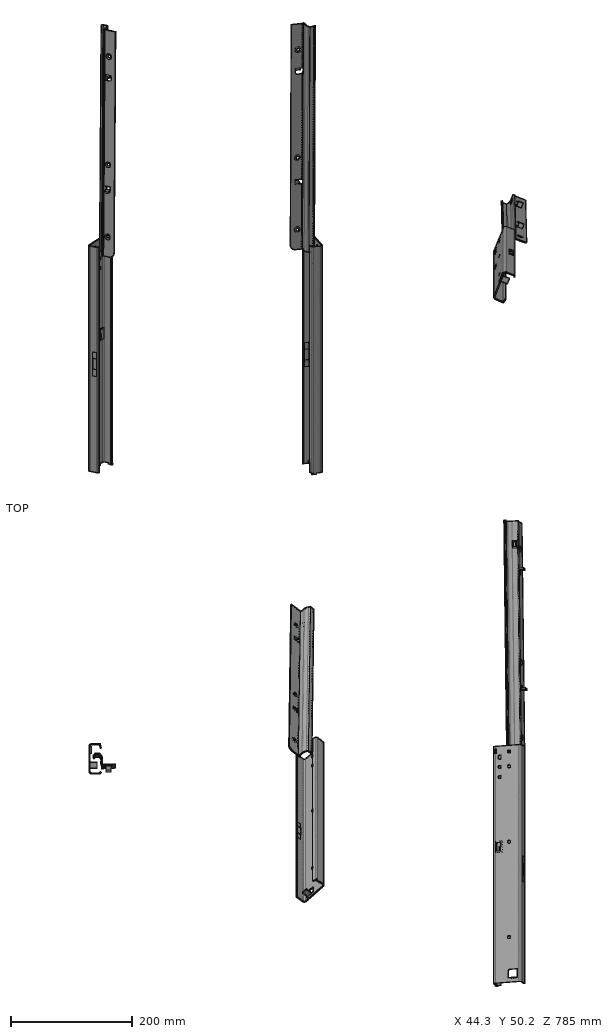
import cadquery as cq
import math

OVERALL_X = 44.3
OVERALL_Y = 50.2
OVERALL_Z = 785.02
X_MIN = -OVERALL_X / 2
X_MAX = OVERALL_X / 2
Y_MIN = -OVERALL_Y / 2
Y_MAX = OVERALL_Y / 2
Z_MIN = -OVERALL_Z / 2
Z_MAX = OVERALL_Z / 2

RAIL_LENGTH = 400.0
SHEET = 2.0

END_TAB_DROP = 1.9
CABINET_BOTTOM = Z_MIN + END_TAB_DROP
BEND_RADIUS = 4.5
LIP_BEND_RADIUS = 3.0
FLANGE_END_X = -4.0
LIP_END_X = -2.2
UPPER_LIP_END_Y = 17.5
LOWER_LIP_END_Y = -21.8
WALL_INSIDE = X_MIN + SHEET

TILT_DEGREES = 0.72
TILT = math.radians(TILT_DEGREES)
FLANGE_FRONT = -13.0
FLANGE_BACK = FLANGE_FRONT + SHEET
VALLEY_BOTTOM = -14.5
DRAWER_CENTRE_Z = Z_MAX - RAIL_LENGTH / 2 * math.cos(TILT) + VALLEY_BOTTOM * math.sin(TILT)
WALL_X = -0.2
BAR_TOP = 6.8
WALL_BEND_Y = 0.5
WALL_BEND_RADIUS = 12.0
VALLEY_BEND_RADIUS = 1.5
FLANGE_CORNER_RADIUS = 9.0


def unit(start, end):
    """Unit direction from one point to another."""
    length = math.dist(start, end)
    return ((end[0] - start[0]) / length, (end[1] - start[1]) / length)


def sheet_side(points, offset):
    """Points of the line that runs beside a bent centre line, to its left, with mitred corners."""
    directions = [unit(a, b) for a, b in zip(points, points[1:])]
    before = [directions[0]] + directions
    after = directions + [directions[-1]]
    side = []
    for (x, y), (ax, ay), (bx, by) in zip(points, before, after):
        reach = offset / (1 + ax * bx + ay * by)
        side.append((x - (ay + by) * reach, y + (ax + bx) * reach))
    return side


def sheet_section(points):
    """Closed outline of a sheet of constant thickness around a bent centre line."""
    left = sheet_side(points, SHEET / 2)
    right = sheet_side(points, -SHEET / 2)
    return cq.Workplane("XY").polyline(left + right[::-1]).close()


def block(x_range, y_range, z_range):
    """Box between two limits along each axis."""
    lows, highs = zip(x_range, y_range, z_range)
    size = [high - low for low, high in zip(lows, highs)]
    return cq.Workplane("XY").box(*size, centered=False).translate(lows)


def along_x(y, z, diameter, x_range):
    """Cylinder along X."""
    length = x_range[1] - x_range[0]
    return cq.Workplane("YZ", origin=(x_range[0], y, z)).circle(diameter / 2).extrude(length)


def upright_edge_near(rail, x, y):
    """The edge along Z that lies nearest to a point of the section."""
    return rail.edges("|Z").edges(cq.selectors.NearestToPointSelector((x, y, rail.val().Center().z)))


def cabinet_channel():
    half = SHEET / 2
    wall = X_MIN + half
    centre_line = [
        (LIP_END_X, UPPER_LIP_END_Y),
        (FLANGE_END_X, Y_MAX - half),
        (wall, Y_MAX - half),
        (wall, Y_MIN + half),
        (FLANGE_END_X, Y_MIN + half),
        (LIP_END_X, LOWER_LIP_END_Y),
    ]
    channel = sheet_section(centre_line).extrude(RAIL_LENGTH).translate((0, 0, CABINET_BOTTOM))
    for y in (Y_MIN, Y_MAX):
        inside_y = y - math.copysign(SHEET, y)
        channel = upright_edge_near(channel, X_MIN, y).fillet(BEND_RADIUS)
        channel = upright_edge_near(channel, WALL_INSIDE, inside_y).fillet(BEND_RADIUS - SHEET)
        channel = upright_edge_near(channel, FLANGE_END_X, y).fillet(LIP_BEND_RADIUS)
        channel = upright_edge_near(channel, FLANGE_END_X, inside_y).fillet(LIP_BEND_RADIUS - SHEET)
    return channel


def wall_holes():
    diameter = 5.0
    centre_row_y = -3.5
    side_row_y = 13.0
    shared_z = -26.0
    slot_z = -9.5
    slot_length = 7.0
    wall_range = (X_MIN, WALL_INSIDE)
    places = [(centre_row_y, z) for z in (-1.0, shared_z, -153.5, -314.5)]
    places += [(side_row_y, z) for z in (shared_z, -43.0)]
    slot_start = cq.Workplane("YZ", origin=(X_MIN, side_row_y, slot_z))
    cutters = slot_start.slot2D(slot_length, diameter, 90).extrude(SHEET)
    for y, z in places:
        cutters = cutters.add(along_x(y, z, diameter, wall_range))
    return cutters.combine()


def corner_window():
    """Small window in the wall beside the upper bend, near the top end."""
    y_range = (18.5, 21.5)
    z_range = (-2.5, 4.5)
    return block((X_MIN, WALL_INSIDE), y_range, z_range)


def add_pressed_stop(rail):
    """Stop pressed inward out of the wall, with a deeper step at one corner."""
    y_range = (8.5, 20.5)
    z_range = (-170.0, -151.0)
    boss_x = -17.6
    recess_depth = 2.0
    rim = 2.4
    recess_y = (y_range[0] + rim, y_range[1] - rim)
    recess_z = (z_range[0] + rim, z_range[1] - rim)
    step_depth = 3.4
    step_width = 3.6
    step_height = 7.6
    step_y = (recess_y[0], recess_y[0] + step_width)
    step_z = (recess_z[0], recess_z[0] + step_height)
    boss = block((X_MIN, boss_x), y_range, z_range)
    recess = block((X_MIN, X_MIN + recess_depth), recess_y, recess_z)
    step = block((X_MIN, X_MIN + step_depth), step_y, step_z)
    return rail.union(boss).cut(recess).cut(step)


def add_latch_tab(rail):
    """Opening near the bottom end and the tab folded inward from its lower edge."""
    opening_y = (-18.0, -2.0)
    opening_z = (-382.5, -369.0)
    opening_radius = 3.0
    fold_radius = 1.5
    tab_y = (-15.5, -5.5)
    tab_end_x = -8.5
    opening = block((X_MIN, WALL_INSIDE), opening_y, opening_z).edges("|X and >Y and >Z").fillet(opening_radius)
    tab = block((X_MIN, tab_end_x), tab_y, (opening_z[0] - SHEET, opening_z[0]))
    rail = rail.cut(opening).union(tab)
    middle_y = sum(tab_y) / 2
    fold = cq.selectors.NearestToPointSelector((X_MIN, middle_y, opening_z[0]))
    return rail.edges("|Y").edges(fold).fillet(fold_radius)


def flange_recess():
    """Shallow recess in the outside of the lower flange, deeper in its middle part."""
    x_range = (-13.0, FLANGE_END_X - LIP_BEND_RADIUS / 2)
    z_range = (-220.0, -177.5)
    middle_z = (-208.0, -189.0)
    depth = 0.6
    middle_depth = 1.2
    recess = block(x_range, (Y_MIN, Y_MIN + depth), z_range)
    return recess.union(block(x_range, (Y_MIN, Y_MIN + middle_depth), middle_z))


def end_tab():
    """Tab that continues the upper flange below the bottom end."""
    x_range = (-11.0, -3.0)
    return block(x_range, (Y_MAX - SHEET, Y_MAX), (Z_MIN, CABINET_BOTTOM))


def build_cabinet_rail():
    rail = cabinet_channel()
    rail = rail.cut(wall_holes()).cut(corner_window()).cut(flange_recess())
    rail = add_pressed_stop(rail)
    rail = add_latch_tab(rail)
    return rail.union(end_tab())


def drawer_section():
    half = SHEET / 2
    bar_y = BAR_TOP - half
    flange_y = FLANGE_FRONT + half
    lip_end = (-14.2, 3.0)
    bar_left = -11.6
    bar_right = -4.6
    valley_right = 1.3
    flange_left = 2.5
    centre_line = [
        lip_end,
        (bar_left, bar_y),
        (bar_right, bar_y),
        (WALL_X, WALL_BEND_Y),
        (WALL_X, VALLEY_BOTTOM + half),
        (valley_right, VALLEY_BOTTOM + half),
        (flange_left, flange_y),
        (X_MAX, flange_y),
    ]
    section = sheet_section(centre_line).extrude(RAIL_LENGTH).translate((0, 0, -RAIL_LENGTH / 2))
    section = upright_edge_near(section, WALL_X + half, WALL_BEND_Y).fillet(WALL_BEND_RADIUS)
    section = upright_edge_near(section, WALL_X - half, WALL_BEND_Y).fillet(WALL_BEND_RADIUS - SHEET)
    return upright_edge_near(section, WALL_X - half, VALLEY_BOTTOM).fillet(VALLEY_BEND_RADIUS)


def round_flange_corner(rail):
    return rail.edges("|Y and >X and <Z").fillet(FLANGE_CORNER_RADIUS)


def flange_screw_holes():
    """Countersunk holes through the flange."""
    x = 10.2
    diameter = 5.0
    head_diameter = 10.0
    head_depth = 1.2
    cutters = cq.Workplane("XY")
    for z in (154.3, -37.2, -164.7):
        start = cq.Workplane("XZ", origin=(x, FLANGE_BACK, z))
        cutters = cutters.add(start.circle(diameter / 2).extrude(SHEET))
        head = cq.Workplane("XZ", origin=(x, FLANGE_FRONT + head_depth, z))
        head = head.circle(diameter / 2).workplane(offset=head_depth).circle(head_diameter / 2).loft()
        cutters = cutters.add(head)
    return cutters.combine()


def add_hook(rail, slot_low, slot_high, hook_at_top, reach):
    """Slot through the flange and valley, and the hook folded forward from its top or bottom edge.

    A shallow relief in the front of the valley continues the slot past the hook.
    """
    slot_x = (1.0, 14.6)
    hook_x = (6.0, slot_x[1])
    relief_x = (slot_x[0], 3.4)
    relief_length = 5.0
    relief_depth = 1.0
    corner_radius = 3.0
    thickness = 2.8
    slot = block(slot_x, (VALLEY_BOTTOM, FLANGE_BACK + SHEET), (slot_low, slot_high))
    if hook_at_top:
        slot = slot.edges("|Y and <Z").fillet(corner_radius)
        hook_z = (slot_high - thickness, slot_high)
        relief_z = (slot_high, slot_high + relief_length)
    else:
        hook_z = (slot_low, slot_low + thickness)
        relief_z = (slot_low - relief_length, slot_low)
    relief = block(relief_x, (VALLEY_BOTTOM, VALLEY_BOTTOM + relief_depth), relief_z)
    hook = block(hook_x, (FLANGE_FRONT - reach, FLANGE_BACK), hook_z)
    return rail.cut(slot).cut(relief).union(hook)


def wall_pad():
    """Raised pad with a smaller step on top of it, on the wall near the top end."""
    wall_face = WALL_X - SHEET / 2
    thickness = 0.8
    pad_y = (-12.5, -4.0)
    pad_z = (154.0, 166.5)
    rim = 2.2
    step_y = (pad_y[0] + rim, pad_y[1] - rim)
    step_z = (pad_z[0] + rim, pad_z[1] - rim)
    pad = block((wall_face - thickness, wall_face), pad_y, pad_z)
    return pad.union(block((wall_face - 2 * thickness, wall_face), step_y, step_z))


def build_drawer_rail():
    rail = round_flange_corner(drawer_section())
    rail = rail.cut(flange_screw_holes())
    rail = add_hook(rail, slot_low=111.0, slot_high=121.3, hook_at_top=True, reach=7.0)
    rail = add_hook(rail, slot_low=-84.5, slot_high=-76.0, hook_at_top=False, reach=8.0)
    rail = rail.union(wall_pad())
    return rail.rotate((0, 0, 0), (1, 0, 0), -TILT_DEGREES).translate((0, 0, DRAWER_CENTRE_Z))


cabinet_rail = build_cabinet_rail()
drawer_rail = build_drawer_rail()

result = cq.Compound.makeCompound([cabinet_rail.val(), drawer_rail.val()])